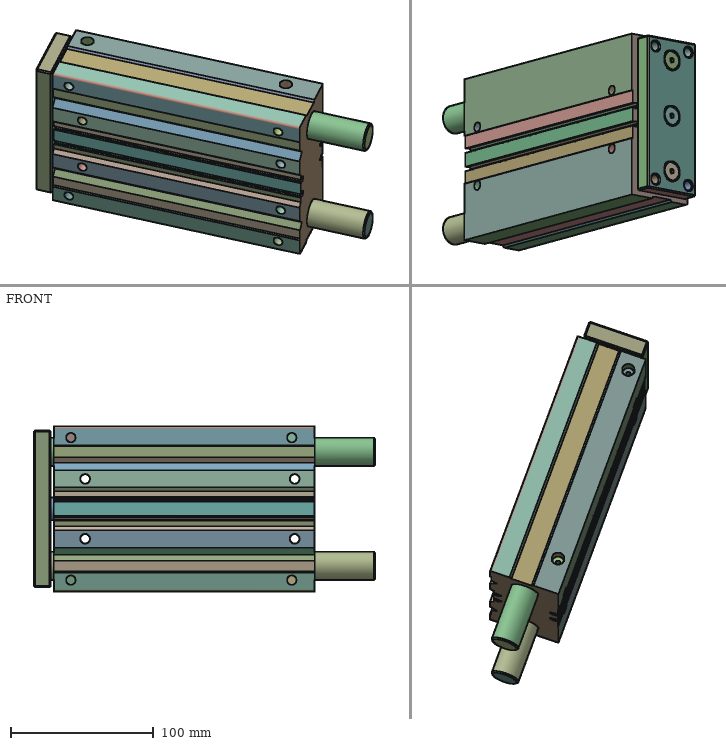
import cadquery as cq


TOTAL_LENGTH = 239.5
PLATE_THICKNESS = 12.0
FRONT_GAP = 2.0
REAR_PROTRUSION = 42.5
HOUSING_FRONT = PLATE_THICKNESS + FRONT_GAP
HOUSING_REAR = TOTAL_LENGTH - REAR_PROTRUSION
HOUSING_LENGTH = HOUSING_REAR - HOUSING_FRONT

HOUSING_HEIGHT = 116.0
HALF_HEIGHT = HOUSING_HEIGHT / 2
FRONT_Y = -26.0
BACK_Y = 25.0
CORNER_RADIUS = 1.5

BAND_DEPTH = 1.5
BAND_FRONT_Y = -11.5
BAND_BACK_Y = 6.5

RELIEF_DEPTH = 0.9
RELIEF_OUTER_Z = 44.8
V_GROOVE_Z = 32.2
V_GROOVE_DEPTH = 5.0
CHANNEL_DEPTH = 2.8
CHANNEL_EDGE_Z = 15.0

BACK_CHANNEL_DEPTH = 0.7
BACK_CHANNEL_EDGE_Z = 17.2

SLOT_Z = 6.6
SLOT_MOUTH = 3.2
SLOT_DIAMETER = 4.0
SLOT_CENTRE_DEPTH = 3.0
SLOT_NOTCH_DIAMETER = 1.2

MOUNT_DIAMETER = 6.6
THROUGH_HOLE_SPACING = 147.0
THROUGH_HOLE_X = HOUSING_FRONT + 22.0
THROUGH_HOLE_Z = 21.0
BLIND_HOLE_SPACING = 155.0
BLIND_HOLE_X = HOUSING_FRONT + 12.0
BLIND_HOLE_Z = 50.0
BLIND_HOLE_DEPTH = 14.0

PORT_DIAMETER = 8.8
PORT_DEPTH = 10.0
PORT_PASSAGE_DIAMETER = 3.2
PORT_PASSAGE_DEPTH = 20.0
PORT_SPACING = 147.0
PORT_X = HOUSING_FRONT + 11.5
PORT_Y = 16.0

PISTON_ROD_DIAMETER = 16.0
PISTON_ROD_REACH = 30.0
GUIDE_ROD_DIAMETER = 20.0
GUIDE_ROD_Z = 40.0
ROD_CHAMFER = 1.0

PLATE_HEIGHT = 110.0
PLATE_WIDTH = 44.0
PLATE_CHAMFER = 1.0
PLATE_HOLE_DIAMETER = 6.65
PLATE_HOLE_MOUTH = 8.4
PLATE_HOLE_MOUTH_ANGLE = 90.0
PLATE_HOLE_SPACING_Y = 30.0
PLATE_HOLE_SPACING_Z = 96.0

RING_OUTER_DIAMETER = 14.5
RING_INNER_DIAMETER = 13.0
RING_DEPTH = 1.0
CENTRE_HOLE_DIAMETER = 3.2
CENTRE_HOLE_DEPTH = 2.0

ROD_HEIGHTS = (-GUIDE_ROD_Z, 0, GUIDE_ROD_Z)


def x_cylinder(diameter, start, end, y=0.0, z=0.0):
    """A cylinder parallel to X between two X positions."""
    plane = cq.Workplane("YZ", origin=(start, y, z))
    return plane.circle(diameter / 2).extrude(end - start)


def x_prism(points):
    """A closed outline of (y, z) points extruded over the housing length."""
    plane = cq.Workplane("YZ", origin=(HOUSING_FRONT, 0, 0))
    return plane.polyline(points).close().extrude(HOUSING_LENGTH)


def side_channel(face, inward, depth, edge_z, run):
    """A channel along X in a Y side, centred on Z = 0; run is the Z width of each end slope."""
    floor = face + inward * depth
    floor_z = edge_z - run
    return x_prism([(face, -edge_z), (floor, -floor_z), (floor, floor_z), (face, edge_z)])


def end_band(side):
    """The shallow band in the top (side 1) or bottom (side -1) face."""
    face = side * HALF_HEIGHT
    floor = side * (HALF_HEIGHT - BAND_DEPTH)
    return x_prism(
        [
            (BAND_FRONT_Y, face),
            (BAND_FRONT_Y + BAND_DEPTH, floor),
            (BAND_BACK_Y - BAND_DEPTH, floor),
            (BAND_BACK_Y, face),
        ]
    )


def front_groove(side):
    """The V groove with the stepped-down strip beside it, on the front side."""
    relief_y = FRONT_Y + RELIEF_DEPTH
    return x_prism(
        [
            (FRONT_Y, side * RELIEF_OUTER_Z),
            (relief_y, side * (RELIEF_OUTER_Z - RELIEF_DEPTH)),
            (relief_y, side * (V_GROOVE_Z + V_GROOVE_DEPTH - RELIEF_DEPTH)),
            (FRONT_Y + V_GROOVE_DEPTH, side * V_GROOVE_Z),
            (FRONT_Y, side * (V_GROOVE_Z - V_GROOVE_DEPTH)),
        ]
    )


def sensor_slot(face, inward, z):
    """A round-bottomed slot along X with its notch, opening at the channel floor."""
    centre_y = face + inward * SLOT_CENTRE_DEPTH
    half_mouth = SLOT_MOUTH / 2
    mouth = x_prism(
        [
            (face, z - half_mouth),
            (centre_y, z - half_mouth),
            (centre_y, z + half_mouth),
            (face, z + half_mouth),
        ]
    )
    bottom_y = centre_y + inward * SLOT_DIAMETER / 2
    bore = x_cylinder(SLOT_DIAMETER, HOUSING_FRONT, HOUSING_REAR, centre_y, z)
    notch = x_cylinder(SLOT_NOTCH_DIAMETER, HOUSING_FRONT, HOUSING_REAR, bottom_y, z)
    return mouth.union(bore).union(notch)


def front_hole(x, z, depth):
    """A mounting hole drilled from the front side toward +Y."""
    plane = cq.Workplane("XZ", origin=(x, FRONT_Y, z))
    return plane.circle(MOUNT_DIAMETER / 2).extrude(-depth)


def air_port(x):
    """A port in the top face with a narrow passage below it."""
    plane = cq.Workplane("XY", origin=(x, PORT_Y, HALF_HEIGHT))
    port = plane.circle(PORT_DIAMETER / 2).extrude(-PORT_DEPTH)
    return port.union(plane.circle(PORT_PASSAGE_DIAMETER / 2).extrude(-PORT_PASSAGE_DEPTH))


def make_housing():
    body = (
        cq.Workplane("XY")
        .box(HOUSING_LENGTH, BACK_Y - FRONT_Y, HOUSING_HEIGHT, centered=False)
        .translate((HOUSING_FRONT, FRONT_Y, -HALF_HEIGHT))
        .edges("|X and <Y")
        .fillet(CORNER_RADIUS)
    )
    body = body.cut(side_channel(FRONT_Y, 1, CHANNEL_DEPTH, CHANNEL_EDGE_Z, CHANNEL_DEPTH))
    body = body.cut(side_channel(BACK_Y, -1, BACK_CHANNEL_DEPTH, BACK_CHANNEL_EDGE_Z, 0))
    for side in (-1, 1):
        body = body.cut(end_band(side))
        body = body.cut(front_groove(side))
        body = body.cut(sensor_slot(FRONT_Y + CHANNEL_DEPTH, 1, side * SLOT_Z))
        body = body.cut(sensor_slot(BACK_Y - BACK_CHANNEL_DEPTH, -1, side * SLOT_Z))
        for x in (THROUGH_HOLE_X, THROUGH_HOLE_X + THROUGH_HOLE_SPACING):
            body = body.cut(front_hole(x, side * THROUGH_HOLE_Z, BACK_Y - FRONT_Y))
        for x in (BLIND_HOLE_X, BLIND_HOLE_X + BLIND_HOLE_SPACING):
            body = body.cut(front_hole(x, side * BLIND_HOLE_Z, BLIND_HOLE_DEPTH))
        body = body.cut(x_cylinder(GUIDE_ROD_DIAMETER, HOUSING_FRONT, HOUSING_REAR, z=side * GUIDE_ROD_Z))
    for x in (PORT_X, PORT_X + PORT_SPACING):
        body = body.cut(air_port(x))
    return body.cut(x_cylinder(PISTON_ROD_DIAMETER, HOUSING_FRONT, HOUSING_FRONT + PISTON_ROD_REACH))


def make_plate():
    plate = (
        cq.Workplane("XY")
        .box(PLATE_THICKNESS, PLATE_WIDTH, PLATE_HEIGHT)
        .translate((PLATE_THICKNESS / 2, 0, 0))
        .edges()
        .chamfer(PLATE_CHAMFER)
    )
    return (
        plate.faces("<X")
        .workplane(origin=(0, 0, 0))
        .rarray(PLATE_HOLE_SPACING_Y, PLATE_HOLE_SPACING_Z, 2, 2)
        .cskHole(PLATE_HOLE_DIAMETER, PLATE_HOLE_MOUTH, PLATE_HOLE_MOUTH_ANGLE)
    )


def rod_end_mark(z):
    """The ring groove and centre hole in the plate face in line with a rod."""
    ring = x_cylinder(RING_OUTER_DIAMETER, 0, RING_DEPTH, z=z)
    ring = ring.cut(x_cylinder(RING_INNER_DIAMETER, 0, RING_DEPTH, z=z))
    return ring.union(x_cylinder(CENTRE_HOLE_DIAMETER, 0, CENTRE_HOLE_DEPTH, z=z))


def make_carriage():
    body = make_plate()
    for z in ROD_HEIGHTS:
        body = body.cut(rod_end_mark(z))
    for z in (-GUIDE_ROD_Z, GUIDE_ROD_Z):
        guide_rod = x_cylinder(GUIDE_ROD_DIAMETER, PLATE_THICKNESS, TOTAL_LENGTH, z=z)
        body = body.union(guide_rod.faces(">X").chamfer(ROD_CHAMFER))
    return body.union(x_cylinder(PISTON_ROD_DIAMETER, PLATE_THICKNESS, HOUSING_FRONT + PISTON_ROD_REACH))


housing = make_housing()
carriage = make_carriage()
result = cq.Compound.makeCompound([housing.val(), carriage.val()])